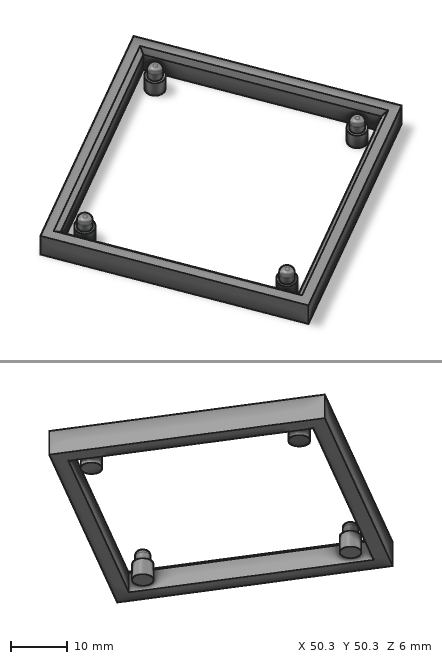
import cadquery as cq

FRAME_SIDE = 50.3
FRAME_HEIGHT = 5.0
WALL_THICKNESS = 2.8
INNER_CHAMFER = 0.95

POST_OFFSET = 18.95
BASE_DIAMETER = 3.8
BASE_HEIGHT = 3.3
PIN_DIAMETER = 2.8
PIN_TOP = 6.0
PIN_ROUND = 1.0


def make_frame():
    """Square ring whose upper inner edges are chamfered."""
    opening_side = FRAME_SIDE - 2 * WALL_THICKNESS
    outer = cq.Workplane("XY").rect(FRAME_SIDE, FRAME_SIDE).extrude(FRAME_HEIGHT)
    opening = cq.Workplane("XY").rect(opening_side, opening_side).extrude(FRAME_HEIGHT)
    ring = outer.cut(opening)
    shortest_wire = cq.selectors.LengthNthSelector(0)
    return ring.faces(">Z").wires(shortest_wire).chamfer(INNER_CHAMFER)


def make_base(x, y):
    """Plain cylinder standing at floor level."""
    return cq.Workplane("XY").center(x, y).circle(BASE_DIAMETER / 2).extrude(BASE_HEIGHT)


def make_pin(x, y):
    """Cylinder resting on a base, with a rounded upper end."""
    pin = (
        cq.Workplane("XY", origin=(0, 0, BASE_HEIGHT))
        .center(x, y)
        .circle(PIN_DIAMETER / 2)
        .extrude(PIN_TOP - BASE_HEIGHT)
    )
    return pin.faces(">Z").edges().fillet(PIN_ROUND)


frame = make_frame()
bases = []
pins = []
for x in (-POST_OFFSET, POST_OFFSET):
    for y in (-POST_OFFSET, POST_OFFSET):
        bases.append(make_base(x, y).val())
        pins.append(make_pin(x, y).val())

result = cq.Compound.makeCompound([frame.val(), *bases, *pins])